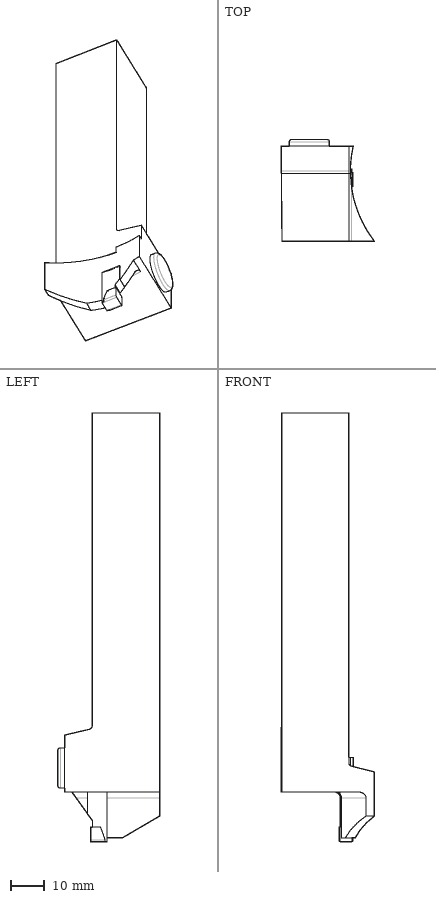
import cadquery as cq
import math

total_height = 126.4
total_width = 27.5
total_depth = 30.1

shank_size = 20.0
side_relief = 0.3

head_bottom = 14.7
head_depth = 28.0
back_ledge_low = 31.5
back_ledge_high = 33.4
side_ledge_low = 20.6
side_ledge_high = 22.5
ledge_fillet = 1.0
lug_top = 24.9

arc_center_y = 20.6
bore_radius = 33.5
bore_left = 20.5
blade_radius = 31.6
blade_left = 17.4
root_fillet = 1.8
blade_bottom = 1.1
blade_toe_y = 11.0
blade_heel_z = 7.6
jaw_top_y = 25.9
jaw_tip_z = 6.2

insert_front = 15.5
insert_back = 21.4
insert_right = 20.8
insert_rake_y = 19.8
insert_shoulder_z = 8.2
tip_height = 4.3
tip_back = 20.3
tip_overhang = 0.4
tip_side_front = 17.4
tip_side_toe = 16.2
tip_toe_z = 0.8
tip_corner_radius = 0.5

screw_diameter = 11.9
screw_x = 8.3
screw_z = 21.7
screw_edge_radius = 0.8

bore_center_x = bore_left + bore_radius
blade_center_x = blade_left + blade_radius


def prism_along_x(points, x_start, x_end):
    """Extrude a (Y, Z) outline from x_start to x_end."""
    plane = cq.Workplane("YZ", origin=(x_start, 0, 0))
    return plane.polyline(points).close().extrude(x_end - x_start)


def prism_along_y(points, y_start, y_end):
    """Extrude an (X, Z) outline from y_start to y_end."""
    plane = cq.Workplane("XZ", origin=(0, y_start, 0))
    return plane.polyline(points).close().extrude(y_start - y_end)


def make_shank():
    outline = [
        (0, head_bottom),
        (head_depth, head_bottom),
        (head_depth, back_ledge_low),
        (shank_size, back_ledge_high),
        (shank_size, total_height),
        (0, total_height),
    ]
    inner_corner = cq.selectors.NearestToPointSelector((shank_size / 2, shank_size, back_ledge_high))
    shank = prism_along_x(outline, 0, shank_size)
    return shank.edges("|X").edges(inner_corner).fillet(ledge_fillet)


def make_side_overhang():
    """Overhang with a sloping top; it laps into the shank by the shank's full width."""
    outline = [
        (0, head_bottom),
        (total_width, head_bottom),
        (total_width, side_ledge_low),
        (shank_size, side_ledge_high),
        (shank_size, lug_top),
        (0, lug_top),
    ]
    inner_corner = cq.selectors.NearestToPointSelector((shank_size, head_depth / 2, side_ledge_high))
    overhang = prism_along_y(outline, 0, head_depth)
    return overhang.edges("|Y").edges(inner_corner).fillet(ledge_fillet)


def make_lug():
    return cq.Workplane("XY").box(
        total_width - shank_size,
        head_depth - shank_size,
        lug_top - head_bottom,
        centered=False,
    ).translate((shank_size, shank_size, head_bottom))


def make_blade():
    """Curved support blade, flared by a fillet where it joins the head."""
    fillet_mid = root_fillet * (1 - math.sqrt(0.5))
    curved = (
        cq.Workplane("XZ", origin=(blade_center_x, arc_center_y, 0))
        .moveTo(0, 0)
        .lineTo(blade_radius, 0)
        .lineTo(blade_radius, head_bottom - root_fillet)
        .threePointArc(
            (blade_radius + fillet_mid, head_bottom - fillet_mid),
            (blade_radius + root_fillet, head_bottom),
        )
        .lineTo(0, head_bottom)
        .close()
        .revolve(360, (0, 0, 0), (0, 1, 0))
    )
    side_outline = [
        (0, head_bottom),
        (0, blade_heel_z),
        (blade_toe_y, blade_bottom),
        (insert_rake_y, blade_bottom),
        (insert_rake_y, jaw_tip_z),
        (jaw_top_y, head_bottom),
    ]
    return curved.intersect(prism_along_x(side_outline, 0, total_width))


def make_bore():
    return (
        cq.Workplane("XY")
        .center(bore_center_x, arc_center_y)
        .circle(bore_radius)
        .extrude(back_ledge_high)
    )


def make_relief():
    """Thin wedge that leans the left side of the holder."""
    outline = [(0, 0), (side_relief, 0), (0, head_depth)]
    return cq.Workplane("XY").polyline(outline).close().extrude(total_height)


def make_insert_slot():
    return cq.Workplane("XY").box(
        total_width, insert_back - insert_front, head_bottom, centered=False
    ).translate((0, insert_front, 0))


def make_screw_head():
    return (
        cq.Workplane("XZ", origin=(screw_x, head_depth, screw_z))
        .circle(screw_diameter / 2)
        .extrude(head_depth - total_depth)
        .faces(">Y")
        .edges()
        .fillet(screw_edge_radius)
    )


def make_holder():
    body = make_shank().union(make_side_overhang()).union(make_lug()).union(make_blade())
    body = body.cut(make_bore()).cut(make_relief()).cut(make_insert_slot())
    return body.union(make_screw_head())


def make_insert():
    """Grooving insert: a bar in the blade slot with a wider cutting tip."""
    bar_outline = [
        (insert_front, 0),
        (insert_rake_y, 0),
        (insert_rake_y, jaw_tip_z),
        (insert_back, insert_shoulder_z),
        (insert_back, head_bottom),
        (insert_front, head_bottom),
    ]
    tip_outline = [
        (tip_side_toe, 0),
        (tip_back, 0),
        (tip_back, tip_height),
        (tip_side_front, tip_height),
        (tip_side_toe, tip_toe_z),
    ]
    tip_left = blade_left - tip_overhang
    tip_right = insert_right + tip_overhang
    bar = prism_along_x(bar_outline, blade_left, insert_right)
    tip = prism_along_x(tip_outline, tip_left, tip_right)
    rounded_end = (
        cq.Workplane("XZ", origin=(0, insert_back, 0))
        .moveTo(tip_left, head_bottom)
        .lineTo(tip_left, tip_corner_radius)
        .radiusArc((tip_left + tip_corner_radius, 0), -tip_corner_radius)
        .lineTo(tip_right - tip_corner_radius, 0)
        .radiusArc((tip_right, tip_corner_radius), -tip_corner_radius)
        .lineTo(tip_right, head_bottom)
        .close()
        .extrude(insert_back - insert_front)
    )
    return bar.union(tip).intersect(rounded_end)


holder = make_holder()
insert = make_insert()

result = cq.Compound.makeCompound([holder.val(), insert.val()])